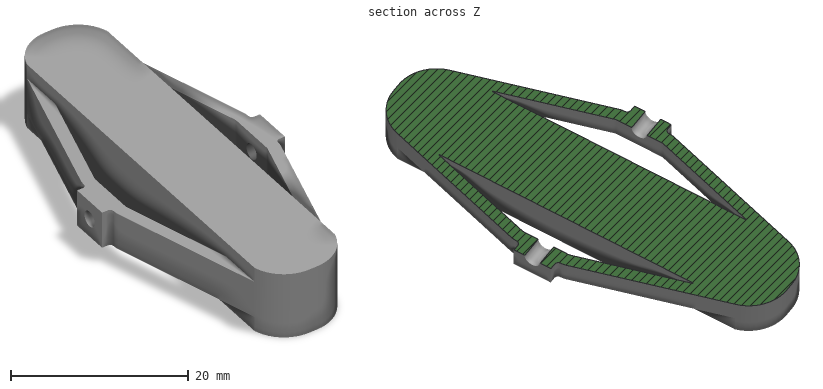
import cadquery as cq
import math

BODY_LENGTH = 53.07
BODY_WIDTH = 11.0
BODY_HEIGHT = 9.0
SIDE_LENGTH = 45.54
END_FLAT_WIDTH = 1.1

SPAN_WIDTH = 25.0
ARM_HEIGHT = 5.0
ARM_THICKNESS = 1.6
BEND_INNER_RADIUS = 1.0
PAD_WIDTH = 5.0
PAD_RISE = 1.25
PAD_FILLET = 0.5
HOLE_DIAMETER = 2.05

half_side = SIDE_LENGTH / 2
body_y = BODY_WIDTH / 2
pad_y = SPAN_WIDTH / 2
half_pad = PAD_WIDTH / 2
strip_outer_y = pad_y - PAD_RISE
strip_inner_y = strip_outer_y - ARM_THICKNESS

bend_outer_radius = BEND_INNER_RADIUS + ARM_THICKNESS
bend_x = half_pad + PAD_FILLET
bend_y = strip_inner_y - BEND_INNER_RADIUS

leg_run = half_side - bend_x
leg_rise = bend_y - body_y
leg_angle = math.atan2(leg_rise, leg_run) + math.asin(bend_outer_radius / math.hypot(leg_run, leg_rise))

leg_inner_x = half_side - ARM_THICKNESS / math.sin(leg_angle)


def bend_point(radius, angle):
    """Point on the right-hand bend, with the angle measured from the +Y direction."""
    return (bend_x + radius * math.sin(angle), bend_y + radius * math.cos(angle))


def make_body():
    half_length = BODY_LENGTH / 2
    half_flat = END_FLAT_WIDTH / 2

    arc_depth = half_length - half_side
    arc_width = body_y - half_flat
    end_radius = (arc_depth**2 + arc_width**2) / (2 * arc_depth)
    half_sweep = math.atan2(arc_depth, arc_width)
    mid_x = half_length - end_radius * (1 - math.cos(half_sweep))
    mid_y = half_flat + end_radius * math.sin(half_sweep)

    return (
        cq.Workplane("XY")
        .moveTo(half_length, -half_flat)
        .lineTo(half_length, half_flat)
        .threePointArc((mid_x, mid_y), (half_side, body_y))
        .lineTo(-half_side, body_y)
        .threePointArc((-mid_x, mid_y), (-half_length, half_flat))
        .lineTo(-half_length, -half_flat)
        .threePointArc((-mid_x, -mid_y), (-half_side, -body_y))
        .lineTo(half_side, -body_y)
        .threePointArc((mid_x, -mid_y), (half_length, -half_flat))
        .close()
        .extrude(BODY_HEIGHT / 2, both=True)
    )


def make_half_arm():
    """Right half of the +Y arm, from the mid-plane to the body side."""
    fillet_mid_offset = PAD_FILLET * (1 - math.sqrt(0.5))
    fillet_mid = (half_pad + fillet_mid_offset, strip_outer_y + fillet_mid_offset)
    return (
        cq.Workplane("XY")
        .moveTo(0, strip_inner_y)
        .lineTo(0, pad_y)
        .lineTo(half_pad, pad_y)
        .lineTo(half_pad, strip_outer_y + PAD_FILLET)
        .threePointArc(fillet_mid, (bend_x, strip_outer_y))
        .threePointArc(bend_point(bend_outer_radius, leg_angle / 2), bend_point(bend_outer_radius, leg_angle))
        .lineTo(half_side, body_y)
        .lineTo(leg_inner_x, body_y)
        .lineTo(*bend_point(BEND_INNER_RADIUS, leg_angle))
        .threePointArc(bend_point(BEND_INNER_RADIUS, leg_angle / 2), (bend_x, strip_inner_y))
        .close()
        .extrude(ARM_HEIGHT / 2, both=True)
    )


def make_pad_hole():
    """Cutter through the pad and strip of the +Y arm, stopping short of the body."""
    return (
        cq.Workplane("XZ", origin=(0, pad_y, 0))
        .circle(HOLE_DIAMETER / 2)
        .extrude(pad_y - strip_inner_y)
    )


def make_arm():
    half_arm = make_half_arm()
    return half_arm.union(half_arm.mirror("YZ")).cut(make_pad_hole())


arm = make_arm()
result = make_body().union(arm).union(arm.mirror("XZ"))